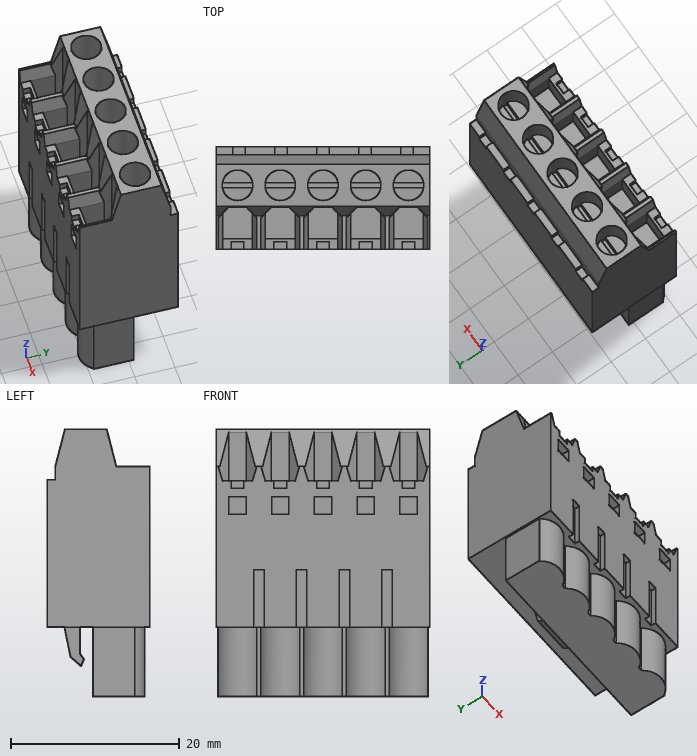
import cadquery as cq


poles = 5
width = 25.4
depth = 12.2
height = 31.8
pole_pitch = width / poles
base_z = 8.27
front_shoulder_z = 27.38
rear_shoulder_z = 25.82
rear_shoulder_depth = 0.95
crown_front_y = 5.12
crown_rear_y = 10.1
front_slope_y = 3.98

plug_width = 25.05
plug_rear_y = 6.77
plug_face_y = 1.8
plug_front_y = 0.6
barrel_width = 4.58

latch_width = pole_pitch
latch_rear_y = 10.18
latch_front_y = 8.3
hook_start_z = 5.12
hook_tip_y = 7.82
hook_tip_z = 4.45
hook_bottom_y = 8.17
hook_bottom_z = 3.63
hook_heel_y = 9.45
hook_heel_z = 4.75

pocket_back_y = 5.02
pocket_back_half = 1.05
pocket_top_half = 2.3
pocket_low_half = 1.78
lip_z = 25.65
lip_depth = 1.27

front_notch_width = 1.53
rear_notch_width = 1.45
notch_height = 0.85
front_notch_depth = 0.9
rear_notch_pitch = 5.0
window_size = 2.07
window_bottom_z = 21.7
window_depth = 1.02
slot_width = 1.25
slot_top_z = 15.1
slot_depth = 0.65
pocket_floor_z = window_bottom_z

screw_diameter = 3.63
screw_y = (crown_front_y + crown_rear_y) / 2
screw_top_z = front_shoulder_z
screw_bottom_z = pocket_floor_z
screw_slot_width = 0.6
screw_slot_depth = 0.95


def row(count, pitch):
    """X positions of a centred row."""
    return [(i - (count - 1) / 2) * pitch for i in range(count)]


def box(x, size_x, y_min, y_max, z_min, z_max):
    """Box centred on x, between the given Y and Z limits."""
    block = cq.Workplane("XY").box(size_x, y_max - y_min, z_max - z_min, centered=(True, False, False))
    return block.translate((x, y_min, z_min))


def side_prism(points, size_x):
    """Outline of (Y, Z) points extruded along X, centred on x = 0."""
    return cq.Workplane("YZ").polyline(points).close().extrude(size_x / 2, both=True)


def make_shell():
    rear_wall_y = depth - rear_shoulder_depth
    return side_prism(
        [
            (0, base_z),
            (0, front_shoulder_z),
            (front_slope_y, front_shoulder_z),
            (crown_front_y, height),
            (crown_rear_y, height),
            (rear_wall_y, front_shoulder_z),
            (rear_wall_y, rear_shoulder_z),
            (depth, rear_shoulder_z),
            (depth, base_z),
        ],
        width,
    )


def make_plug():
    plug = box(0, plug_width, plug_face_y, plug_rear_y, 0, base_z)
    for x in row(poles, pole_pitch):
        barrel = (
            cq.Workplane("XY")
            .moveTo(x - barrel_width / 2, plug_face_y)
            .threePointArc((x, plug_front_y), (x + barrel_width / 2, plug_face_y))
            .close()
            .extrude(base_z)
        )
        plug = plug.union(barrel)
    return plug


def make_latch():
    return side_prism(
        [
            (latch_rear_y, base_z),
            (latch_front_y, base_z),
            (latch_front_y, hook_start_z),
            (hook_tip_y, hook_tip_z),
            (hook_bottom_y, hook_bottom_z),
            (hook_heel_y, hook_heel_z),
        ],
        latch_width,
    )


def make_wire_pocket(x):
    """Pocket open to the front and top: flared above the lip, with its rear corners cut at 45 degrees."""
    corner_y = pocket_back_y - (pocket_top_half - pocket_back_half)
    plan = (
        cq.Workplane("XY", origin=(x, 0, pocket_floor_z))
        .polyline(
            [
                (-pocket_top_half, 0),
                (pocket_top_half, 0),
                (pocket_top_half, corner_y),
                (pocket_back_half, pocket_back_y),
                (-pocket_back_half, pocket_back_y),
                (-pocket_top_half, corner_y),
            ]
        )
        .close()
        .extrude(height - pocket_floor_z)
    )
    flare = (
        cq.Workplane("XZ", origin=(x, 0, 0))
        .polyline(
            [
                (-pocket_low_half, lip_z),
                (pocket_low_half, lip_z),
                (pocket_top_half, front_shoulder_z),
                (pocket_top_half, height),
                (-pocket_top_half, height),
                (-pocket_top_half, front_shoulder_z),
            ]
        )
        .close()
        .extrude(-pocket_back_y)
    )
    well = box(x, 2 * pocket_low_half, lip_depth, pocket_back_y, pocket_floor_z, lip_z)
    return plan.intersect(flare.union(well))


def make_bore(x):
    bore = cq.Workplane("XY", origin=(x, screw_y, screw_bottom_z)).circle(screw_diameter / 2)
    return bore.extrude(height - screw_bottom_z)


def make_housing():
    body = make_shell().union(make_plug()).union(make_latch())
    for x in row(poles, pole_pitch):
        body = body.cut(make_wire_pocket(x))
        body = body.cut(make_bore(x))
        body = body.cut(box(x, front_notch_width, 0, front_notch_depth, lip_z - notch_height, lip_z))
        window_top_z = window_bottom_z + window_size
        body = body.cut(box(x, window_size, 0, window_depth, window_bottom_z, window_top_z))
    for x in row(poles, rear_notch_pitch):
        notch_bottom_z = rear_shoulder_z - notch_height
        body = body.cut(
            box(x, rear_notch_width, depth - rear_shoulder_depth, depth, notch_bottom_z, rear_shoulder_z)
        )
    for x in row(poles - 1, pole_pitch):
        body = body.cut(box(x, slot_width, 0, slot_depth, base_z, slot_top_z))
    return body


def make_screw(x):
    """Plain cylinder that fills the lower part of its bore, with a driver slot across its top."""
    screw = (
        cq.Workplane("XY", origin=(x, screw_y, screw_bottom_z))
        .circle(screw_diameter / 2)
        .extrude(screw_top_z - screw_bottom_z)
    )
    driver_slot = box(
        x,
        screw_diameter,
        screw_y - screw_slot_width / 2,
        screw_y + screw_slot_width / 2,
        screw_top_z - screw_slot_depth,
        screw_top_z,
    )
    return screw.cut(driver_slot)


housing = make_housing()
screws = [make_screw(x) for x in row(poles, pole_pitch)]

result = cq.Compound.makeCompound([housing.val(), *[screw.val() for screw in screws]])